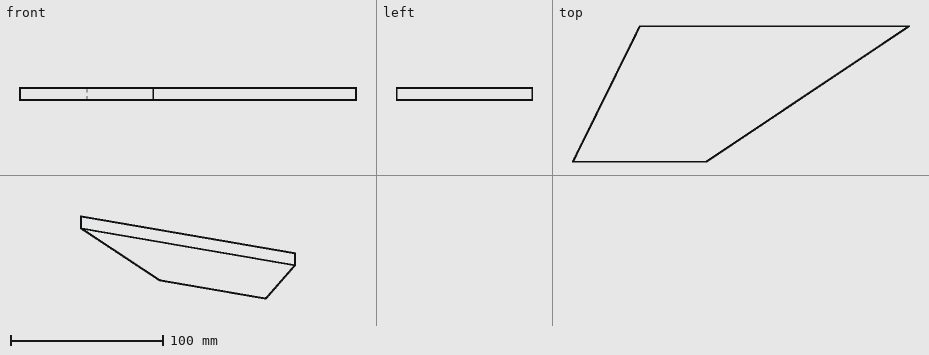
import cadquery as cq

length = 220.7
width = 89.0
thickness = 8.2
front_edge = 87.6
back_edge_start = 44.0

outline = [
    (0, 0),
    (front_edge, 0),
    (length, width),
    (back_edge_start, width),
]

result = cq.Workplane("XY").polyline(outline).close().extrude(thickness)